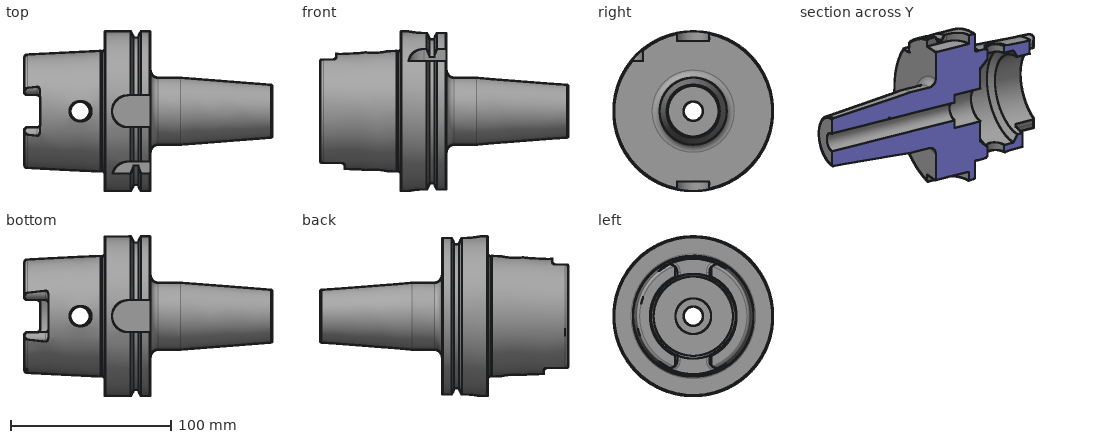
import cadquery as cq
import math

total_length = 155.0
flange_start = 50.0
flange_end = 79.0

taper_end = 47.7
gauge_radius = 37.8
taper_slope = 1 / 20
tip_radius = gauge_radius - taper_end * taper_slope
tip_round = 2.0
relief_radius = 37.5
relief_chamfer = 0.8
face_fillet = 1.4

flange_radius = 100.0 / 2
flange_chamfer = 0.6

groove_start = 66.5
groove_end = 73.0
groove_radius = 46.2
groove_cone_length = 1.7
groove_cone_radius = 47.0

neck_radius = 42.0 / 2
neck_fillet = 4.6
nose_taper_start = 97.6
nose_radius = 16.6
nose_chamfer = 0.8

bore_radius = 53.0 / 2
bore_chamfer = 0.6
undercut_start = 19.2
undercut_radius = 63.0 / 2
undercut_angle = math.radians(60)
bore_floor = 46.2
floor_radius = 24.8
coolant_thread_radius = 22.3 / 2
coolant_thread_end = 65.1
through_radius = 12.0 / 2

key_width = 20.0
slot_depth_top = 9.9
slot_depth_bottom = 15.2
slot_wall_height = 27.5
slot_corner_radius = 5.0
slot_floor_fillet = 1.9
slot_mouth_chamfer = 1.4

keyway_start = 54.9
keyway_floor = 44.0
notch_offset = 31.5

access_hole_x = 34.9
access_hole_diameter = 12.0
access_hole_chamfer = 0.5

clearance = 7.8


def make_body():
    profile = (
        cq.Workplane("XY")
        .lineTo(0, tip_radius)
        .lineTo(taper_end, gauge_radius)
        .lineTo(taper_end + relief_chamfer, relief_radius)
        .lineTo(flange_start - face_fillet, relief_radius)
        .radiusArc((flange_start, relief_radius + face_fillet), -face_fillet)
        .lineTo(flange_start, flange_radius - flange_chamfer)
        .lineTo(flange_start + flange_chamfer, flange_radius)
        .lineTo(groove_start, flange_radius)
        .lineTo(groove_start + groove_cone_length, groove_cone_radius)
        .lineTo(groove_start + groove_cone_length, groove_radius)
        .lineTo(groove_end - groove_cone_length, groove_radius)
        .lineTo(groove_end - groove_cone_length, groove_cone_radius)
        .lineTo(groove_end, flange_radius)
        .lineTo(flange_end - flange_chamfer, flange_radius)
        .lineTo(flange_end, flange_radius - flange_chamfer)
        .lineTo(flange_end, neck_radius + neck_fillet)
        .radiusArc((flange_end + neck_fillet, neck_radius), -neck_fillet)
        .lineTo(nose_taper_start, neck_radius)
        .lineTo(total_length - nose_chamfer, nose_radius)
        .lineTo(total_length, nose_radius - nose_chamfer)
        .lineTo(total_length, 0)
        .close()
    )
    body = profile.revolve(360, (0, 0, 0), (1, 0, 0))
    return body.faces("<X").edges().fillet(tip_round)


def make_bore():
    undercut_run = (undercut_radius - bore_radius) / math.tan(undercut_angle)
    floor_run = undercut_radius - floor_radius
    profile = (
        cq.Workplane("XY")
        .lineTo(0, bore_radius + bore_chamfer)
        .lineTo(bore_chamfer, bore_radius)
        .lineTo(undercut_start, bore_radius)
        .lineTo(undercut_start + undercut_run, undercut_radius)
        .lineTo(bore_floor - floor_run, undercut_radius)
        .lineTo(bore_floor, floor_radius)
        .lineTo(bore_floor, coolant_thread_radius)
        .lineTo(coolant_thread_end, coolant_thread_radius)
        .lineTo(coolant_thread_end, through_radius)
        .lineTo(total_length, through_radius)
        .lineTo(total_length, 0)
        .close()
    )
    return profile.revolve(360, (0, 0, 0), (1, 0, 0))


def make_drive_slot(depth):
    """Slot open to +Z whose walls curl outward near the outer surface."""
    half = key_width / 2
    shelf = slot_wall_height + slot_corner_radius
    reach = gauge_radius + clearance
    slot = (
        cq.Workplane("YZ")
        .moveTo(-half, 0)
        .lineTo(half, 0)
        .lineTo(half, slot_wall_height)
        .radiusArc((half + slot_corner_radius, shelf), slot_corner_radius)
        .lineTo(reach, shelf)
        .lineTo(reach, reach)
        .lineTo(-reach, reach)
        .lineTo(-reach, shelf)
        .lineTo(-half - slot_corner_radius, shelf)
        .radiusArc((-half, slot_wall_height), slot_corner_radius)
        .close()
        .extrude(depth)
        .faces(">X")
        .edges()
        .fillet(slot_floor_fillet)
    )
    mouth = (
        cq.Workplane("XY")
        .moveTo(0, -half - slot_mouth_chamfer)
        .lineTo(slot_mouth_chamfer, -half)
        .lineTo(slot_mouth_chamfer, half)
        .lineTo(0, half + slot_mouth_chamfer)
        .close()
        .extrude(reach)
    )
    return slot.union(mouth)


def make_keyway(center_y, floor):
    """Round-ended slot open to +Z and to the nose side of the flange."""
    radius = key_width / 2
    end_center = keyway_start + radius
    outline = (
        cq.Workplane("XY", origin=(0, center_y, floor))
        .moveTo(flange_end, -radius)
        .lineTo(end_center, -radius)
        .radiusArc((end_center, radius), radius)
        .lineTo(flange_end, radius)
        .close()
    )
    return outline.extrude(flange_radius + clearance - floor)


def make_access_hole():
    """Hole through both walls, its two mouths countersunk at 45 degrees."""
    radius = access_hole_diameter / 2
    surface = tip_radius + access_hole_x * taper_slope
    chamfer_base = math.sqrt(surface**2 - radius**2) - access_hole_chamfer
    top = surface + access_hole_chamfer
    profile = (
        cq.Workplane("XZ", origin=(access_hole_x, 0, 0))
        .lineTo(radius, 0)
        .lineTo(radius, chamfer_base)
        .lineTo(radius + top - chamfer_base, top)
        .lineTo(0, top)
        .close()
    )
    upper = profile.revolve(360, (0, 0, 0), (0, 1, 0))
    return upper.union(turned_over(upper))


def turned_over(cutter):
    return cutter.rotate((0, 0, 0), (1, 0, 0), 180)


keyway = make_keyway(0, keyway_floor)
notch = make_keyway(-notch_offset - key_width / 2, notch_offset)

result = (
    make_body()
    .cut(make_bore())
    .cut(make_drive_slot(slot_depth_top))
    .cut(turned_over(make_drive_slot(slot_depth_bottom)))
    .cut(make_access_hole())
    .cut(keyway)
    .cut(turned_over(keyway))
    .cut(notch)
)